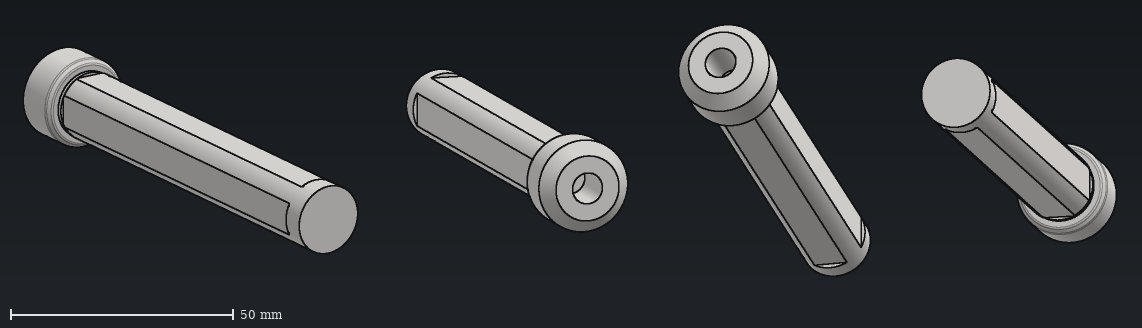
import cadquery as cq

total_length = 110.0
head_diameter = 21.0
head_length = 13.1
front_chamfer = 3.1
rear_chamfer = 1.1
rear_blend_radius = 0.7

shaft_diameter = 16.0
neck_diameter = 15.5
neck_length = 1.1
neck_ramp_length = 0.3

across_flats = 14.1
collar_length = 5.3
flat_count = 4

hole_diameter = 7.0
hole_depth = head_length

x_start = -total_length / 2
flats_start = x_start + head_length + neck_length
flats_length = total_length - head_length - neck_length - collar_length


def cylinder(diameter, length, start):
    """Solid cylinder along +X from the given X position."""
    return cq.Workplane("YZ", origin=(start, 0, 0)).circle(diameter / 2).extrude(length)


def make_head():
    head = cylinder(head_diameter, head_length, x_start)
    head = head.faces("<X").chamfer(front_chamfer)
    head = head.faces(">X").chamfer(rear_chamfer)
    cylinder_end = x_start + head_length - rear_chamfer
    rear_edges = cq.selectors.BoxSelector(
        (cylinder_end - rear_chamfer / 2, -head_diameter, -head_diameter),
        (total_length, head_diameter, head_diameter),
        boundingbox=True,
    )
    return head.edges("%CIRCLE").edges(rear_edges).fillet(rear_blend_radius)


def make_shaft():
    neck = cylinder(neck_diameter, neck_length, x_start + head_length)
    shaft = cylinder(shaft_diameter, flats_length + collar_length, flats_start)
    ramp_height = (shaft_diameter - neck_diameter) / 2
    shaft = shaft.faces("<X").chamfer(neck_ramp_length, ramp_height)
    cutter_height = shaft_diameter - across_flats
    cutter = cq.Workplane("XY").box(
        flats_length, shaft_diameter, cutter_height, centered=(False, True, False)
    ).translate((flats_start, 0, across_flats / 2))
    for index in range(flat_count):
        angle = index * 360 / flat_count
        shaft = shaft.cut(cutter.rotate((0, 0, 0), (1, 0, 0), angle))
    return neck.union(shaft)


hole = cylinder(hole_diameter, hole_depth, x_start)
result = make_head().union(make_shaft()).cut(hole)